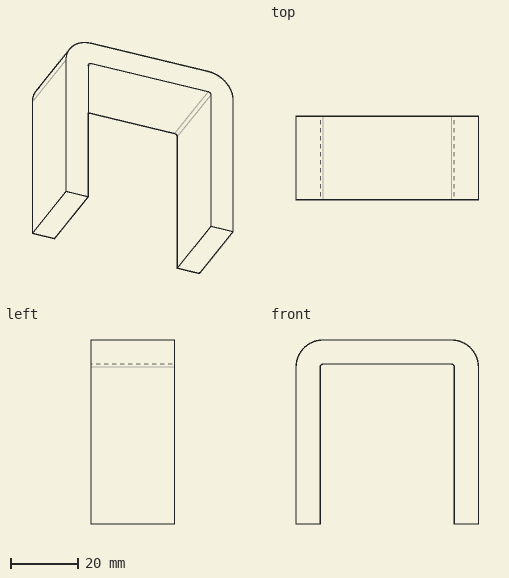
import cadquery as cq

width = 54.5
depth = 25.0
height = 55.0
wall = 7.25
inner_radius = 0.9
outer_radius = inner_radius + wall


def arch(arch_width, arch_height, corner_radius):
    """Block standing on Z = 0 with its two top corners rounded along Y."""
    block = cq.Workplane("XY").box(arch_width, depth, arch_height, centered=(True, True, False))
    return block.edges("|Y and >Z").fillet(corner_radius)


outer = arch(width, height, outer_radius)
opening = arch(width - 2 * wall, height - wall, inner_radius)

result = outer.cut(opening)